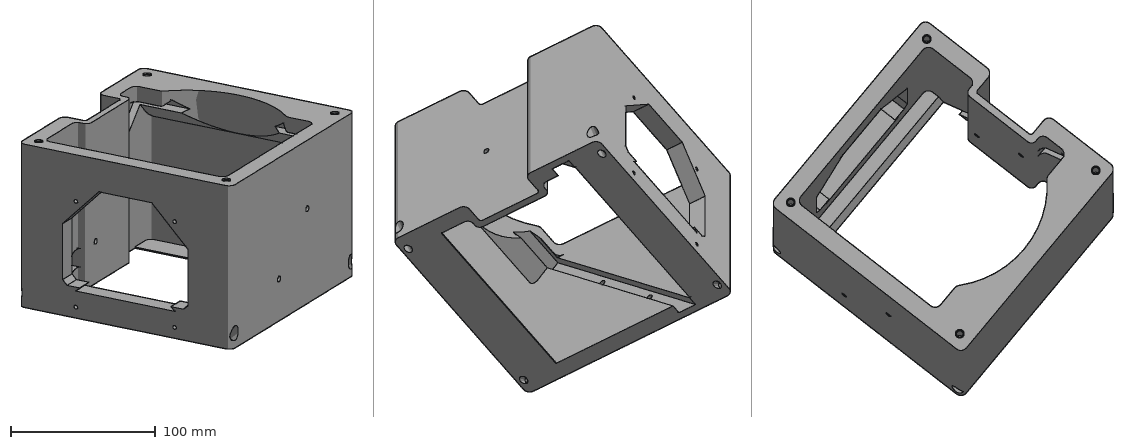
import cadquery as cq
import math

SIDE = 170.0
HEIGHT = 120.9
HALF = SIDE / 2
CORNER_RADIUS = 5.0

WALL = 13.0
CAVITY_HALF = HALF - WALL
OPENING_BACK_Y = 51.7
OVERHANG_BASE_Z = 92.1
LIP_Z = 109.5
CAVITY_RADIUS = 4.2
LENS_RADIUS = 71.7
LENS_CORNER_RADIUS = 6.0

BACK_FLOOR_EDGE_Y = 53.0
BACK_FLOOR_HEIGHT = 1.0
FRONT_FLOOR_EDGE_Y = -57.8
FRONT_FLOOR_HEIGHT = 4.5

NOTCH_WIDTH = 49.1
NOTCH_DEPTH = 18.5
NOTCH_WALL = 5.1
NOTCH_INNER_RADIUS = 2.0
LINER_RADIUS = 4.0
LINER_ROOT_RADIUS = 4.5

MIRROR_OFFSET = 50.7
MIRROR_THICKNESS = 9.7
MIRROR_GROOVE_DEPTH = 7.5
MIRROR_RECESS = 4.2
PIN_DIAMETER = 4.0
PIN_Y = 19.5

WINDOW_HALF_WIDTH = 50.0
WINDOW_TOP_HALF_WIDTH = 21.0
WINDOW_SHOULDER_Z = 68.0
WINDOW_LEDGE_Z = 23.0
WINDOW_CHAMFER = 3.5
WINDOW_SILL_Z = 20.0
SILL_TOP_HALF_WIDTH = 36.4
SILL_HALF_WIDTH = 39.6
WINDOW_SCREW_DIAMETER = 2.7
WINDOW_SCREW_DEPTH = 6.0
WINDOW_SCREW_X = 39.5
WINDOW_SCREW_Z = (8.2, 86.4)

TOP_SCREW_XY = 75.0
TOP_SCREW_DIAMETER = 4.5
TOP_SCREW_DEPTH = 13.6
TOP_BORE_DIAMETER = 6.0
TOP_BORE_DEPTH = 1.0

FOOT_SCREW_Y = 80.0
FOOT_SCREW_Z = 11.2
FOOT_SCREW_ANGLE = 42.0
FOOT_SCREW_DIAMETER = 5.0
FOOT_SCREW_LENGTH = 22.5
FOOT_BORE_DIAMETER = 8.0
FOOT_BORE_DEPTH = 8.8

NOTCH_HALF_WIDTH = NOTCH_WIDTH / 2
NOTCH_FLOOR_X = -HALF + NOTCH_DEPTH
LINER_X = NOTCH_FLOOR_X + NOTCH_WALL
LINER_HALF_WIDTH = NOTCH_HALF_WIDTH + NOTCH_WALL


def box(x0, x1, y0, y1, z0, z1):
    return cq.Workplane("XY").box(x1 - x0, y1 - y0, z1 - z0, centered=False).translate((x0, y0, z0))


def extrude_x(points, half_length):
    """Prism symmetric about X = 0 from a profile of (y, z) points."""
    return cq.Workplane("YZ").polyline(points).close().extrude(half_length, both=True)


def round_uprights(solid, corners, radius):
    """Fillet the vertical edges that stand at the given (x, y) corners."""
    for x, y in corners:
        edge = solid.edges("|Z").edges(cq.selectors.NearestToPointSelector((x, y, HEIGHT / 2)))
        solid = edge.fillet(radius)
    return solid


def make_body():
    """Solid block with rounded corners and the notch down its -X side."""
    body = box(-HALF, HALF, -HALF, HALF, 0, HEIGHT)
    notch = box(-HALF, NOTCH_FLOOR_X, -NOTCH_HALF_WIDTH, NOTCH_HALF_WIDTH, 0, HEIGHT)
    notch = notch.edges("|Z and >X").fillet(NOTCH_INNER_RADIUS)
    body = body.edges("|Z").fillet(CORNER_RADIUS).cut(notch)
    mouth_corners = [(-HALF, -NOTCH_HALF_WIDTH), (-HALF, NOTCH_HALF_WIDTH)]
    return round_uprights(body, mouth_corners, CORNER_RADIUS)


def make_cavity():
    """Square well whose back part is roofed by a 45 degree overhang, opened by the round lens cut."""
    well = box(-CAVITY_HALF, CAVITY_HALF, -CAVITY_HALF, CAVITY_HALF, 0, HEIGHT)
    well = well.edges("|Z and >Y").fillet(CAVITY_RADIUS).edges("|Z and <Y").fillet(CORNER_RADIUS)
    roof_profile = [
        (CAVITY_HALF, OVERHANG_BASE_Z),
        (CAVITY_HALF - (LIP_Z - OVERHANG_BASE_Z), LIP_Z),
        (OPENING_BACK_Y, LIP_Z),
        (OPENING_BACK_Y, HEIGHT),
        (CAVITY_HALF, HEIGHT),
    ]
    well = well.cut(extrude_x(roof_profile, HALF))

    opening = box(-CAVITY_HALF, CAVITY_HALF, 0, OPENING_BACK_Y, 0, HEIGHT)
    opening = opening.edges("|Z and >Y").fillet(CORNER_RADIUS)
    lens = cq.Workplane("XY").circle(LENS_RADIUS).extrude(HEIGHT)
    opening = opening.union(lens.intersect(box(-HALF, HALF, 0, HALF, 0, HEIGHT)))
    lens_corner_x = math.sqrt(LENS_RADIUS**2 - OPENING_BACK_Y**2)
    lens_corners = [(-lens_corner_x, OPENING_BACK_Y), (lens_corner_x, OPENING_BACK_Y)]
    opening = round_uprights(opening, lens_corners, LENS_CORNER_RADIUS)

    above_lip = box(-HALF, HALF, 0, HALF, LIP_Z, HEIGHT)
    return well.cut(above_lip).union(opening).cut(make_liner())


def make_mirror_slot():
    """Slab along z = y + MIRROR_OFFSET, cut into both side walls and the overhang."""
    half_rise = MIRROR_THICKNESS / math.sqrt(2)
    low = MIRROR_OFFSET - half_rise
    high = MIRROR_OFFSET + half_rise
    end = CAVITY_HALF + OVERHANG_BASE_Z + MIRROR_RECESS * math.sqrt(2)
    profile = [
        (-low, 0),
        ((end - low) / 2, (end + low) / 2),
        ((end - high) / 2, (end + high) / 2),
        (-high, 0),
    ]
    slot = extrude_x(profile, CAVITY_HALF + MIRROR_GROOVE_DEPTH)
    return slot.cut(box(-HALF, LINER_X, -LINER_HALF_WIDTH, LINER_HALF_WIDTH, 0, HEIGHT))


def make_floor():
    """Thin strip along the back wall and a thicker one, bevelled at its free edge, along the front."""
    back = box(-CAVITY_HALF, CAVITY_HALF, BACK_FLOOR_EDGE_Y, CAVITY_HALF, 0, BACK_FLOOR_HEIGHT)
    front_profile = [
        (-CAVITY_HALF, 0),
        (FRONT_FLOOR_EDGE_Y, 0),
        (FRONT_FLOOR_EDGE_Y - FRONT_FLOOR_HEIGHT, FRONT_FLOOR_HEIGHT),
        (-CAVITY_HALF, FRONT_FLOOR_HEIGHT),
    ]
    return back.union(extrude_x(front_profile, CAVITY_HALF))


def make_liner():
    """Wall around the notch that stands into the cavity, with rounded roots along the side wall."""
    side_wall = box(-HALF, -CAVITY_HALF, -CAVITY_HALF, CAVITY_HALF, 0, HEIGHT)
    liner = box(-HALF, LINER_X, -LINER_HALF_WIDTH, LINER_HALF_WIDTH, 0, HEIGHT)
    liner = liner.edges("|Z and >X").fillet(LINER_RADIUS).union(side_wall)
    roots = [(-CAVITY_HALF, -LINER_HALF_WIDTH), (-CAVITY_HALF, LINER_HALF_WIDTH)]
    return round_uprights(liner, roots, LINER_ROOT_RADIUS)


def make_window():
    """Opening through the front wall with sloped shoulders and an undercut sill."""
    top_z = WINDOW_SHOULDER_Z + WINDOW_HALF_WIDTH - WINDOW_TOP_HALF_WIDTH
    right_half = [
        (WINDOW_TOP_HALF_WIDTH, top_z),
        (WINDOW_HALF_WIDTH, WINDOW_SHOULDER_Z),
        (WINDOW_HALF_WIDTH, WINDOW_LEDGE_Z + WINDOW_CHAMFER),
        (WINDOW_HALF_WIDTH - WINDOW_CHAMFER, WINDOW_LEDGE_Z),
        (SILL_TOP_HALF_WIDTH, WINDOW_LEDGE_Z),
        (SILL_HALF_WIDTH, WINDOW_SILL_Z),
    ]
    left_half = [(-x, z) for x, z in reversed(right_half)]
    outline = cq.Workplane("XZ", origin=(0, -CAVITY_HALF, 0)).polyline(right_half + left_half).close()
    return outline.extrude(WALL)


def make_window_screws():
    points = [(side * WINDOW_SCREW_X, z) for side in (-1, 1) for z in WINDOW_SCREW_Z]
    face = cq.Workplane("XZ", origin=(0, -HALF, 0)).pushPoints(points)
    return face.circle(WINDOW_SCREW_DIAMETER / 2).extrude(-WINDOW_SCREW_DEPTH)


def make_top_screws():
    points = [(x * TOP_SCREW_XY, y * TOP_SCREW_XY) for x in (-1, 1) for y in (-1, 1)]
    face = cq.Workplane("XY", origin=(0, 0, HEIGHT)).pushPoints(points)
    shank = face.circle(TOP_SCREW_DIAMETER / 2).extrude(-TOP_SCREW_DEPTH)
    return shank.union(face.circle(TOP_BORE_DIAMETER / 2).extrude(-TOP_BORE_DEPTH))


def make_pins():
    """Two holes across the block on the mirror mid-plane."""
    points = [(y, y + MIRROR_OFFSET) for y in (-PIN_Y, PIN_Y)]
    return cq.Workplane("YZ").pushPoints(points).circle(PIN_DIAMETER / 2).extrude(HALF, both=True)


def make_foot_screw(side_x, side_y):
    """Counterbored hole that enters a side near the bottom and slants inward through the base."""
    angle = math.radians(FOOT_SCREW_ANGLE)
    inward = cq.Vector(-side_x * math.cos(angle), 0, -math.sin(angle))
    entry = cq.Vector(side_x * HALF, side_y * FOOT_SCREW_Y, FOOT_SCREW_Z)
    shank = cq.Solid.makeCylinder(FOOT_SCREW_DIAMETER / 2, FOOT_SCREW_LENGTH, entry, inward)
    outside = entry - inward * FOOT_BORE_DIAMETER
    bore_length = FOOT_BORE_DIAMETER + FOOT_BORE_DEPTH
    bore = cq.Solid.makeCylinder(FOOT_BORE_DIAMETER / 2, bore_length, outside, inward)
    return cq.Workplane(shank).union(cq.Workplane(bore))


result = make_body().cut(make_cavity()).cut(make_mirror_slot())
result = result.union(make_floor())
result = result.cut(make_window()).cut(make_window_screws())
result = result.cut(make_top_screws()).cut(make_pins())
for side_x in (-1, 1):
    for side_y in (-1, 1):
        result = result.cut(make_foot_screw(side_x, side_y))